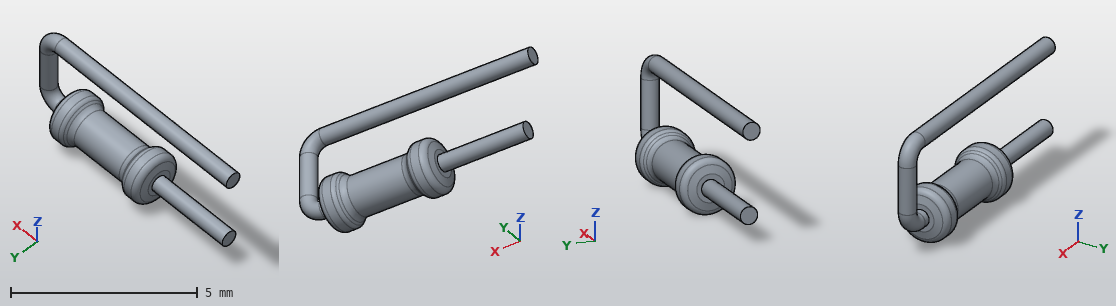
import cadquery as cq
import math


wire_diameter = 0.5
wire_radius = wire_diameter / 2
bend_radius = wire_diameter
return_height = 2.395
straight_lead_end = -4.56
straight_lead_offset = 0.015
folded_lead_end = -4.7
folded_lead_reach = 2.76

body_length = 3.61
cap_diameter = 1.6
waist_diameter = 1.2
end_face_radius = 0.4
end_cone_radius = 0.64
end_cone_depth = 0.06
cap_outer = 1.55
cap_inner = 1.28
neck_cone_outer = 1.15
neck_cone_inner = 1.08
waist_half_length = 0.88
neck_cone_large_radius = 0.74
neck_cone_small_radius = 0.68

body_half_length = body_length / 2
cap_radius = cap_diameter / 2
waist_radius = waist_diameter / 2


def arc_middle(level_point, other_point):
    """Middle of the arc that runs parallel to X at level_point and ends at other_point."""
    run = other_point[0] - level_point[0]
    rise = other_point[1] - level_point[1]
    arc_radius = (run**2 + rise**2) / (2 * abs(rise))
    half_angle = math.atan2(abs(rise), abs(run))
    return (
        level_point[0] + math.copysign(arc_radius * math.sin(half_angle), run),
        level_point[1] + math.copysign(arc_radius * (1 - math.cos(half_angle)), rise),
    )


def make_body():
    """Turned body: two rounded caps joined by a slimmer waist."""
    end_cone_rim = (-body_half_length + end_cone_depth, end_cone_radius)
    cap_start = (-cap_outer, cap_radius)
    cap_stop = (-cap_inner, cap_radius)
    neck_top = (-neck_cone_outer, neck_cone_large_radius)
    neck_bottom = (-neck_cone_inner, neck_cone_small_radius)
    waist_start = (-waist_half_length, waist_radius)
    half_profile = (
        cq.Workplane("XZ")
        .moveTo(-body_half_length, 0)
        .lineTo(-body_half_length, end_face_radius)
        .lineTo(*end_cone_rim)
        .threePointArc(arc_middle(cap_start, end_cone_rim), cap_start)
        .lineTo(*cap_stop)
        .threePointArc(arc_middle(cap_stop, neck_top), neck_top)
        .lineTo(*neck_bottom)
        .threePointArc(arc_middle(waist_start, neck_bottom), waist_start)
        .lineTo(0, waist_radius)
        .lineTo(0, 0)
        .close()
    )
    half_body = half_profile.revolve(360, (0, 0, 0), (1, 0, 0))
    return half_body.union(half_body.mirror("YZ"))


def make_straight_lead():
    """Plain wire butted against the -X end face of the body."""
    lead_length = -body_half_length - straight_lead_end
    return (
        cq.Workplane("YZ", origin=(straight_lead_end, straight_lead_offset, 0))
        .circle(wire_radius)
        .extrude(lead_length)
    )


def make_folded_lead():
    """Wire from the +X end face, bent up and then back over the body."""
    riser_x = folded_lead_reach - wire_radius
    bend_start_x = riser_x - bend_radius
    path = (
        cq.Workplane("XZ")
        .moveTo(body_half_length, 0)
        .lineTo(bend_start_x, 0)
        .tangentArcPoint((riser_x, bend_radius), relative=False)
        .lineTo(riser_x, return_height - bend_radius)
        .tangentArcPoint((bend_start_x, return_height), relative=False)
        .lineTo(folded_lead_end, return_height)
    )
    return cq.Workplane("YZ", origin=(body_half_length, 0, 0)).circle(wire_radius).sweep(path)


body = make_body()
straight_lead = make_straight_lead()
folded_lead = make_folded_lead()

result = cq.Compound.makeCompound([body.val(), straight_lead.val(), folded_lead.val()])